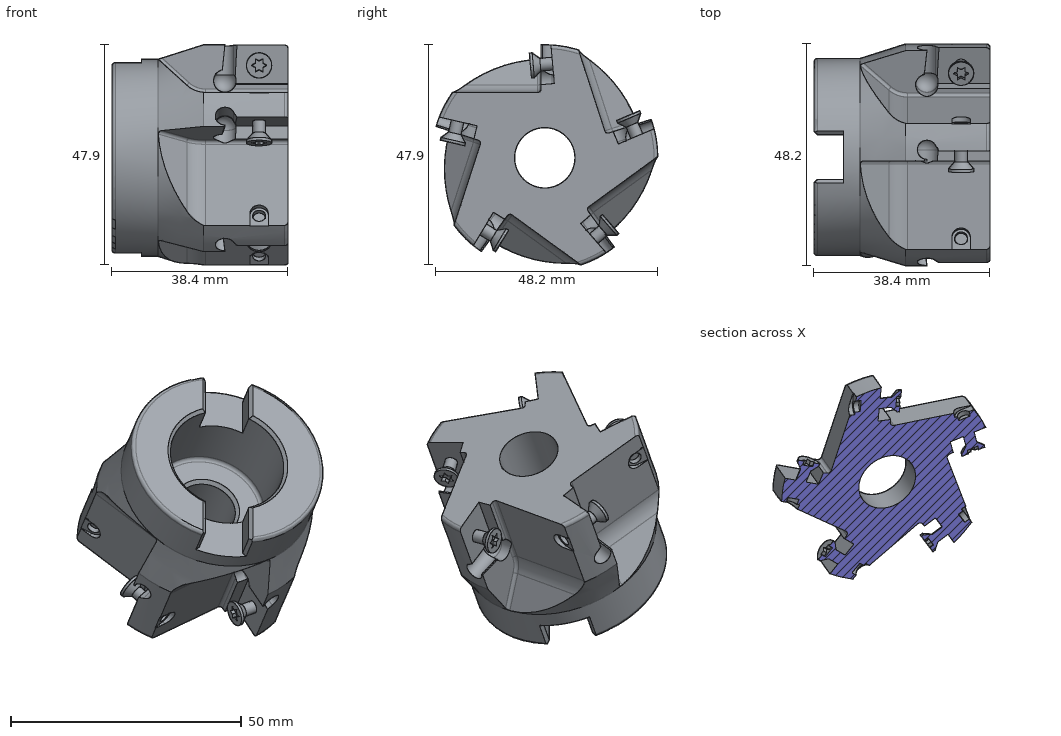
import cadquery as cq
import math


length = 38.4
neck_radius = 42.95 / 2
cutter_radius = 24.6
cone_start = 10.1
cone_end = 19.95
rim_round = 0.8
through_hole_radius = 13.1 / 2
bore_radius = 25.4 / 2
bore_depth = 19.3
bore_chamfer = 0.72
bore_floor_round = 0.8
hole_chamfer = 0.75

slot_width = 9.7
slot_depth = 6.4
slot_chamfer = 0.75

tooth_count = 5
rake_y = -0.8
floor_z = 14.25
ramp_foot_x = 18.05
ramp_blend_radius = 6.05
pocket_corner_radius = 0.72

seat_tilt = 5.0
seat_root_y = 2.1
seat_root_z = 16.15
seat_wall_x = 23.8
seat_wall_tilt = 6.0

relief_x = 24.6
relief_y = 1.6
relief_z = 16.75
relief_ball_radius = 2.45
relief_hole_radius = 2.1
relief_flank_start = 42.0
relief_flank_x = 26.8
relief_flank_tilt = 3.3

screw_x = 32.05
screw_z = 20.1
shank_radius = 2.8 / 2
head_radius = 5.5 / 2
head_top_y = -3.15
head_rim_height = 0.65
head_cone_height = 1.55
star_outer_radius = 1.65
star_inner_radius = 0.95
star_points = 6
star_depth = 0.95
spotface_radius = 2.05
spotface_distance = 10.6
shank_end_recess = 1.2

clear = 2 * cutter_radius


def make_body():
    """Turned blank with the stepped central hole."""
    outline = (
        cq.Workplane("XY")
        .polyline([
            (0, 0),
            (0, neck_radius),
            (cone_start, neck_radius),
            (cone_end, cutter_radius),
            (length, cutter_radius),
            (length, 0),
        ])
        .close()
    )
    body = outline.revolve(360, (0, 0, 0), (1, 0, 0))
    body = body.faces("<X or >X").edges().fillet(rim_round)
    bore = cq.Workplane("YZ").circle(bore_radius).extrude(bore_depth)
    bore = bore.faces(">X").edges().fillet(bore_floor_round)
    body = body.cut(bore)
    body = body.cut(cq.Workplane("YZ").circle(through_hole_radius).extrude(length))
    body = body.cut(chamfer_cone(0, bore_radius, bore_chamfer))
    return body.cut(chamfer_cone(bore_depth, through_hole_radius, hole_chamfer))


def chamfer_cone(x, radius, size):
    """Cone that bevels the edge of a hole whose mouth lies at x and faces -X."""
    return (
        cq.Workplane("XY")
        .polyline([(x, 0), (x, radius + size), (x + size, radius), (x + size, 0)])
        .close()
        .revolve(360, (0, 0, 0), (1, 0, 0))
    )


def make_drive_slot():
    """Slot along Z with bevels at the drive face and at the outside of the neck."""
    half = slot_width / 2
    flare = half + slot_chamfer
    rim_z = math.sqrt(neck_radius**2 - flare**2)
    slot = (
        cq.Workplane("XY")
        .polyline([
            (0, -flare),
            (slot_chamfer, -half),
            (slot_depth, -half),
            (slot_depth, half),
            (slot_chamfer, half),
            (0, flare),
        ])
        .close()
        .extrude(clear, both=True)
    )
    for side in (1, -1):
        bevel = (
            cq.Workplane("YZ")
            .polyline([
                (-half, side * (rim_z - slot_chamfer)),
                (half, side * (rim_z - slot_chamfer)),
                (flare, side * rim_z),
                (flare, side * neck_radius),
                (-flare, side * neck_radius),
                (-flare, side * rim_z),
            ])
            .close()
            .extrude(slot_depth)
        )
        slot = slot.union(bevel)
    return slot


def make_chip_pocket():
    """Pocket in front of the rake face: flat floor, blended ramp and a rounded inner corner."""
    slope = (neck_radius - floor_z) / (ramp_foot_x - cone_start)
    ramp_top_x = ramp_foot_x - (clear - floor_z) / slope
    pocket = (
        cq.Workplane("XZ", origin=(0, rake_y, 0))
        .polyline([(ramp_foot_x, floor_z), (clear, floor_z), (clear, clear), (ramp_top_x, clear)])
        .close()
        .extrude(clear)
    )
    foot = cq.selectors.NearestToPointSelector((ramp_foot_x, rake_y - clear / 2, floor_z))
    pocket = pocket.edges(foot).fillet(ramp_blend_radius)
    flat_edge = cq.selectors.NearestToPointSelector((length, rake_y, floor_z))
    return pocket.edges(flat_edge).fillet(pocket_corner_radius)


def lean(z, tilt):
    """Shift along X, at height z, of a wall tilted about the level of the relief center."""
    return (z - relief_z) * math.tan(math.radians(tilt))


def seat_face_y(z):
    """Y of the leaning seat face at height z."""
    return seat_root_y - (z - seat_root_z) * math.tan(math.radians(seat_tilt))


def make_insert_seat():
    """Step for the insert, with a tilted end wall and a ledge square to the seat face."""
    steps = (
        cq.Workplane("YZ")
        .polyline([
            (rake_y, seat_root_z - (seat_root_y - rake_y) * math.tan(math.radians(seat_tilt))),
            (seat_root_y, seat_root_z),
            (seat_face_y(cutter_radius), cutter_radius),
            (rake_y, cutter_radius),
        ])
        .close()
        .extrude(clear)
    )
    wall = (
        cq.Workplane("XZ", origin=(0, rake_y, 0))
        .polyline([
            (seat_wall_x + lean(0, seat_wall_tilt), 0),
            (clear, 0),
            (clear, clear),
            (seat_wall_x + lean(clear, seat_wall_tilt), clear),
        ])
        .close()
        .extrude(rake_y - seat_root_y)
    )
    return steps.intersect(wall)


def flank_section(z):
    """Outline, at height z, between the relief hole and the line where its flat flank meets the seat."""
    start = math.radians(relief_flank_start)
    end_x = relief_flank_x + lean(z, relief_flank_tilt)
    points = [
        (relief_x, rake_y),
        (end_x, rake_y),
        (end_x, seat_face_y(z)),
        (relief_x + relief_hole_radius * math.cos(start), relief_y + relief_hole_radius * math.sin(start)),
        (relief_x, relief_y),
    ]
    return cq.Wire.makePolygon([cq.Vector(x, y, z) for x, y in points], close=True)


def make_seat_relief():
    """Ball-ended plunge through the rake face, met by a hole from the outside with one flat flank."""
    center = (relief_x, relief_y, relief_z)
    ball = cq.Workplane(origin=center).sphere(relief_ball_radius)
    plunge = (
        cq.Workplane("XZ", origin=center)
        .circle(relief_ball_radius)
        .extrude(relief_y - rake_y + pocket_corner_radius)
    )
    hole = cq.Workplane(origin=center).circle(relief_hole_radius).extrude(cutter_radius)
    flank = cq.Solid.makeLoft([flank_section(relief_z), flank_section(relief_z + cutter_radius)], True)
    return ball.union(plunge).union(hole).union(cq.Workplane(flank))


def place_on_screw_axis(shape):
    """Move a shape built along +Y from the origin onto the leaning screw axis, starting at the head."""
    return shape.rotate((0, 0, 0), (1, 0, 0), seat_tilt).translate((screw_x, head_top_y, screw_z))


def make_spotface():
    """Round-ended spotface on the back of the tooth, open to the outside, plus the end of the screw hole."""
    spotface_depth = 2 * spotface_radius
    plane = cq.Workplane("XZ", origin=(0, spotface_distance, 0))
    rounded = plane.circle(spotface_radius).extrude(-spotface_depth)
    open_side = (
        plane.center(0, spotface_radius)
        .rect(2 * spotface_radius, 2 * spotface_radius)
        .extrude(-spotface_depth)
    )
    hole = plane.circle(shank_radius).extrude(shank_end_recess)
    return place_on_screw_axis(rounded.union(open_side).union(hole))


def make_screw():
    """Countersunk screw with a star socket, standing on the seat."""
    cone_foot = head_rim_height + head_cone_height
    tip = spotface_distance - shank_end_recess
    screw = (
        cq.Workplane("XY")
        .polyline([
            (0, 0),
            (head_radius, 0),
            (head_radius, head_rim_height),
            (shank_radius, cone_foot),
            (shank_radius, tip),
            (0, tip),
        ])
        .close()
        .revolve(360, (0, 0, 0), (0, 1, 0))
    )
    star = []
    for i in range(2 * star_points):
        radius = star_inner_radius if i % 2 else star_outer_radius
        angle = math.pi * i / star_points
        star.append((radius * math.cos(angle), radius * math.sin(angle)))
    socket = cq.Workplane("XZ").polyline(star).close().extrude(-star_depth)
    return place_on_screw_axis(screw.cut(socket))


tooth_cuts = [
    make_chip_pocket(),
    make_insert_seat(),
    make_seat_relief(),
    make_spotface(),
]
screw = make_screw()

result = make_body().cut(make_drive_slot())
tooth_angles = [i * 360 / tooth_count for i in range(tooth_count)]
for angle in tooth_angles:
    for cutter in tooth_cuts:
        result = result.cut(cutter.rotate((0, 0, 0), (1, 0, 0), angle))
for angle in tooth_angles:
    result = result.union(screw.rotate((0, 0, 0), (1, 0, 0), angle))